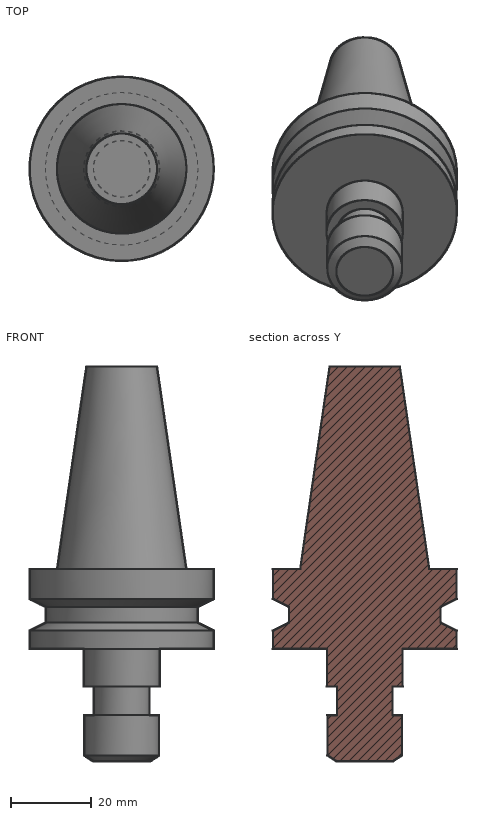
import cadquery as cq

flange_diameter = 46.0
groove_diameter = 38.0
taper_large_diameter = 32.3
taper_small_diameter = 17.6
collar_diameter = 19.0
neck_diameter = 14.0
nut_diameter = 18.7
nut_end_diameter = 14.2

total_height = 98.4
nut_length = 11.5
nut_chamfer_height = 1.5
neck_length = 7.1
collar_length = 9.4
lower_rim_height = 4.5
groove_flank_height = 2.0
groove_floor_height = 3.9
upper_rim_height = 7.5

neck_top = nut_length + neck_length
flange_bottom = neck_top + collar_length
groove_bottom = flange_bottom + lower_rim_height
groove_floor_bottom = groove_bottom + groove_flank_height
groove_floor_top = groove_floor_bottom + groove_floor_height
groove_top = groove_floor_top + groove_flank_height
flange_top = groove_top + upper_rim_height


def half_profile():
    """Closed outline in the XZ plane, from the nut end up to the taper tip."""
    stations = [
        (nut_end_diameter, 0),
        (nut_diameter, nut_chamfer_height),
        (nut_diameter, nut_length),
        (neck_diameter, nut_length),
        (neck_diameter, neck_top),
        (collar_diameter, neck_top),
        (collar_diameter, flange_bottom),
        (flange_diameter, flange_bottom),
        (flange_diameter, groove_bottom),
        (groove_diameter, groove_floor_bottom),
        (groove_diameter, groove_floor_top),
        (flange_diameter, groove_top),
        (flange_diameter, flange_top),
        (taper_large_diameter, flange_top),
        (taper_small_diameter, total_height),
    ]
    outline = cq.Workplane("XZ").moveTo(0, 0)
    for diameter, height in stations:
        outline = outline.lineTo(diameter / 2, height)
    return outline.lineTo(0, total_height).close()


result = half_profile().revolve(360, (0, 0, 0), (0, 1, 0))